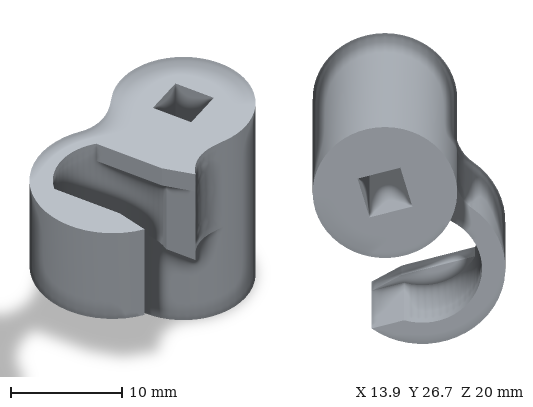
import cadquery as cq
import math

total_height = 20.0
ring_bottom = total_height / 2
lip_thickness = 2.0

post_radius = 6.5
drive_square = 4.0

overall_length = 26.65
ring_radius = 7.5
ring_x = 0.08
ring_y = -(overall_length - post_radius - ring_radius)
bore_radius = 5.38

neck_start = 2.7
neck_waist = 5.12
neck_waist_y = -5.7

lip_half_width = 3.7
mouth_half_width = 4.5
flare_start_x = math.sqrt(bore_radius**2 - mouth_half_width**2)
flare_end_x = math.sqrt(ring_radius**2 - mouth_half_width**2)
slot_reach = 1.5 * ring_radius


def cylinder(x, y, radius, bottom):
    """Upright cylinder reaching from the given height to the top of the part."""
    base = cq.Workplane("XY", origin=(x, y, bottom))
    return base.circle(radius).extrude(total_height - bottom)


def make_neck():
    """Web between post and ring, its sides curving tangentially from one to the other."""
    post_end_x = math.sqrt(post_radius**2 - neck_start**2)
    ring_end_y = ring_y + mouth_half_width
    right_post_end = (post_end_x, -neck_start)
    left_ring_end = (ring_x - flare_end_x, ring_end_y)
    right_ring_end = (ring_x + flare_end_x, ring_end_y)
    left_tangents = [(neck_start, -post_end_x), (-mouth_half_width, -flare_end_x)]
    right_tangents = [(-mouth_half_width, flare_end_x), (neck_start, post_end_x)]
    return (
        cq.Workplane("XY", origin=(0, 0, ring_bottom))
        .moveTo(-post_end_x, -neck_start)
        .spline([(-neck_waist, neck_waist_y), left_ring_end], tangents=left_tangents, includeCurrent=True)
        .lineTo(*right_ring_end)
        .spline([(neck_waist, neck_waist_y), right_post_end], tangents=right_tangents, includeCurrent=True)
        .close()
        .extrude(total_height - ring_bottom)
    )


def make_lower_opening():
    """Bore below the lip with a straight wide slot."""
    lip_bottom = total_height - lip_thickness
    ring_plane = cq.Workplane("XY", origin=(ring_x, ring_y, ring_bottom))
    bore = ring_plane.circle(bore_radius).extrude(lip_bottom - ring_bottom)
    slot = (
        ring_plane.center(slot_reach / 2, 0)
        .rect(slot_reach, 2 * mouth_half_width)
        .extrude(lip_bottom - ring_bottom)
    )
    return bore.union(slot)


def make_lip_opening():
    """Parallel slot in the top lip with a rounded inner end and a flared mouth."""
    lip_plane = cq.Workplane("XY", origin=(ring_x, ring_y, total_height - lip_thickness))
    round_end_x = -math.sqrt(bore_radius**2 - lip_half_width**2)
    flare_slope = (mouth_half_width - lip_half_width) / (flare_end_x - flare_start_x)
    reach_half_width = mouth_half_width + flare_slope * (slot_reach - flare_end_x)
    return (
        lip_plane.moveTo(round_end_x, lip_half_width)
        .threePointArc((-bore_radius, 0), (round_end_x, -lip_half_width))
        .lineTo(flare_start_x, -lip_half_width)
        .lineTo(slot_reach, -reach_half_width)
        .lineTo(slot_reach, reach_half_width)
        .lineTo(flare_start_x, lip_half_width)
        .close()
        .extrude(lip_thickness)
    )


drive_hole = cq.Workplane("XY").rect(drive_square, drive_square).extrude(total_height)

open_ring = (
    cylinder(ring_x, ring_y, ring_radius, ring_bottom)
    .union(make_neck())
    .cut(make_lower_opening())
    .cut(make_lip_opening())
)
result = cylinder(0, 0, post_radius, 0).union(open_ring).cut(drive_hole)